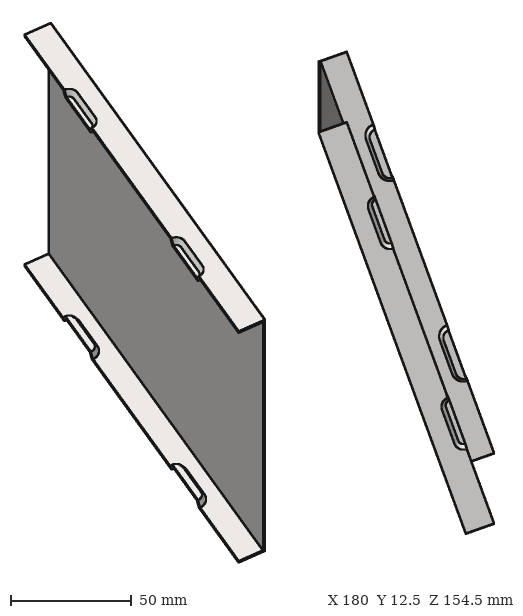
import cadquery as cq

width = 180.0
flange_depth = 12.5
height = 154.5
thickness = 1.0

dimple_spacing = 90.0
dimple_length = 23.0
dimple_reach = 4.0
dimple_depth = 3.0
wall_draft = 30.0

free_edge_y = -flange_depth / 2
flange_face_z = height / 2


def make_channel():
    """Back panel and both flanges, open toward -Y."""
    outer = cq.Workplane("XY").box(width, flange_depth, height)
    opening = (
        cq.Workplane("XY")
        .box(width, flange_depth, height - 2 * thickness)
        .translate((0, -thickness, 0))
    )
    return outer.cut(opening)


def tapered_slot(x, offset, top_z):
    """Slot-shaped plug centred on the free edge, narrowing downward from top_z."""
    return (
        cq.Workplane("XY", origin=(x, free_edge_y, top_z))
        .slot2D(dimple_length + 2 * offset, 2 * (dimple_reach + offset))
        .extrude(-dimple_depth, taper=wall_draft)
    )


def dimple_skin(x):
    """Outer body of a top dimple, hanging below the flange and cut flush with its free edge."""
    envelope = cq.Workplane("XY").box(width, flange_depth, height)
    return tapered_slot(x, thickness, flange_face_z - thickness).intersect(envelope)


def dimple_cavity(x):
    """Hollow of a top dimple, open at the flange's outer face and free edge."""
    return tapered_slot(x, 0, flange_face_z)


result = make_channel()
for dimple_x in (-dimple_spacing / 2, dimple_spacing / 2):
    skin = dimple_skin(dimple_x)
    cavity = dimple_cavity(dimple_x)
    result = result.union(skin).union(skin.mirror("XY"))
    result = result.cut(cavity).cut(cavity.mirror("XY"))